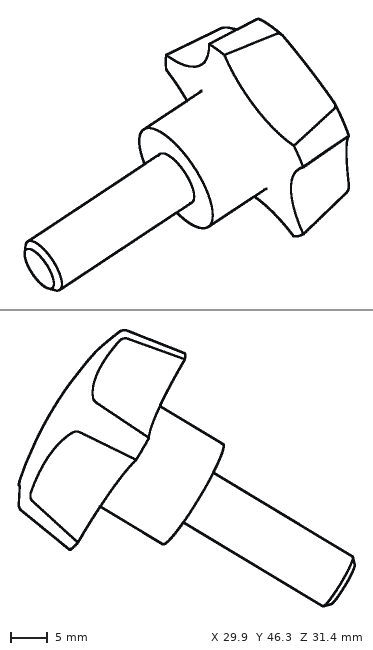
import cadquery as cq
import math

head_height = 11.05
head_radius = 16.03
head_taper_angle = 10
dome_radius = 50.03
dome_edge_fillet = 1.0

lobe_count = 5
scallop_radius = 13.0
scallop_depth_radius = 11.2

hub_radius = 8.0
hub_length = 11.15
hub_root_fillet = 1.1

shaft_radius = 4.0
shaft_length = 24.1
shaft_chamfer = 0.8


def dome_height(radius):
    """Height of the spherical dome at a distance from the axis."""
    return head_height - dome_radius + math.sqrt(dome_radius**2 - radius**2)


def cone_dome_rim():
    """Radius and height where the tapered side meets the dome."""
    taper = math.tan(math.radians(head_taper_angle))
    dome_centre = head_height - dome_radius
    a = 1 + taper**2
    half_b = head_radius * taper + dome_centre
    c = head_radius**2 + dome_centre**2 - dome_radius**2
    height = (half_b + math.sqrt(half_b**2 - a * c)) / a
    return head_radius - height * taper, height


def make_head():
    """Tapered, domed disc cut by scallops to leave the lobes."""
    rim_radius, rim_height = cone_dome_rim()
    middle_radius = rim_radius / 2
    head = (
        cq.Workplane("XY")
        .lineTo(head_radius, 0)
        .lineTo(rim_radius, rim_height)
        .threePointArc((middle_radius, dome_height(middle_radius)), (0, head_height))
        .close()
        .revolve(360, (0, 0, 0), (0, 1, 0))
    )
    rim_margin = 0.05
    rim = cq.selectors.BoxSelector(
        (-head_radius, rim_height - rim_margin, -head_radius),
        (head_radius, rim_height + rim_margin, head_radius),
        boundingbox=True,
    )
    head = head.edges(rim).fillet(dome_edge_fillet)

    scallops = (
        cq.Workplane("XZ")
        .polarArray(scallop_depth_radius + scallop_radius, 0, 360, lobe_count)
        .circle(scallop_radius)
        .extrude(-head_height)
    )
    return head.cut(scallops)


def make_hub():
    """Cylindrical hub with a concave fillet flaring out to the head."""
    root_radius = hub_radius + hub_root_fillet
    arc_offset = hub_root_fillet * (1 - math.sqrt(0.5))
    return (
        cq.Workplane("XY")
        .lineTo(root_radius, 0)
        .threePointArc((hub_radius + arc_offset, -arc_offset), (hub_radius, -hub_root_fillet))
        .lineTo(hub_radius, -hub_length)
        .lineTo(0, -hub_length)
        .close()
        .revolve(360, (0, 0, 0), (0, 1, 0))
    )


def make_shaft():
    """Plain shaft with a chamfered free end."""
    return (
        cq.Workplane("XZ", origin=(0, -hub_length, 0))
        .circle(shaft_radius)
        .extrude(shaft_length)
        .faces("<Y")
        .chamfer(shaft_chamfer)
    )


result = make_head().union(make_hub()).union(make_shaft())